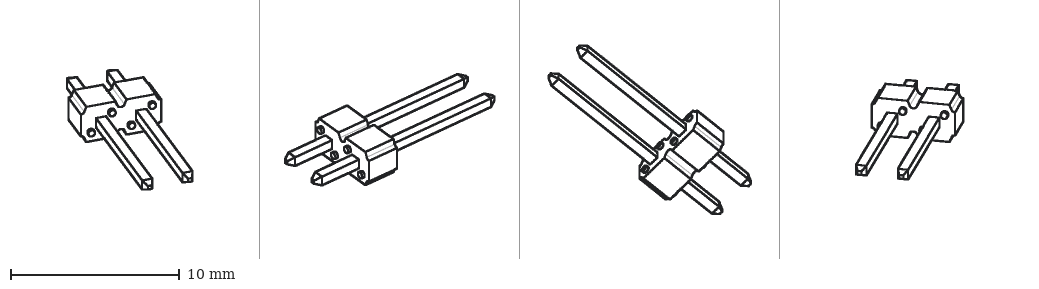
import cadquery as cq
import math


pitch = 2.54
pin_count = 2

body_length = 2.13
body_height = 2.41

groove_depth = 0.455
groove_half_width = 0.345
groove_radius = 0.235

pin_length = 13.67
pin_width = 0.635
pin_tip_width = 0.24
pin_taper_length = 0.43
pin_short_side = 3.23

nub_diameter = 0.42
nub_height = 0.19
nub_offset_y = 0.655
nub_offset_z = 0.555

row_width = pin_count * pitch
body_start = -body_length / 2
pin_start = body_start - pin_short_side
pin_end = pin_start + pin_length
pin_positions = [(i - (pin_count - 1) / 2) * pitch for i in range(pin_count)]
groove_positions = [i * pitch - row_width / 2 for i in range(pin_count + 1)]


def yz_plane(x):
    """Sketch plane at the given X, with local axes Y and Z and its normal along +X."""
    return cq.Workplane("YZ", origin=(x, 0, 0))


def groove(y, side):
    """Cutter for one groove in the top (side = 1) or bottom (side = -1) of the body.

    Straight flanks run tangent into a round bottom.
    """
    centre_depth = groove_depth - groove_radius
    corner_distance = math.hypot(groove_half_width, centre_depth)
    tangent_angle = math.acos(groove_radius / corner_distance)
    contact_angle = math.atan2(centre_depth, groove_half_width) - tangent_angle
    contact_half_width = groove_radius * math.cos(contact_angle)
    contact_depth = centre_depth - groove_radius * math.sin(contact_angle)

    def point(offset, depth):
        return (y + offset, side * (body_height / 2 - depth))

    return (
        yz_plane(body_start)
        .moveTo(*point(-groove_half_width, 0))
        .lineTo(*point(-contact_half_width, contact_depth))
        .threePointArc(point(0, groove_depth), point(contact_half_width, contact_depth))
        .lineTo(*point(groove_half_width, 0))
        .close()
        .extrude(body_length)
    )


def make_body():
    """Insulator block, grooved between the positions and at both ends of the row."""
    body = yz_plane(body_start).rect(row_width, body_height).extrude(body_length)
    for y in groove_positions:
        for side in (1, -1):
            body = body.cut(groove(y, side))
    return body


def pin_tip(y, shoulder, end):
    """Pyramid-shaped tip from the full pin section at shoulder to the blunt end."""
    return (
        yz_plane(shoulder)
        .center(y, 0)
        .rect(pin_width, pin_width)
        .workplane(offset=end - shoulder)
        .rect(pin_tip_width, pin_tip_width)
        .loft(ruled=True)
    )


def make_pin(y):
    """Square pin, tapered at both ends."""
    first_shoulder = pin_start + pin_taper_length
    last_shoulder = pin_end - pin_taper_length
    shank = (
        yz_plane(first_shoulder)
        .center(y, 0)
        .rect(pin_width, pin_width)
        .extrude(last_shoulder - first_shoulder)
    )
    shank = shank.union(pin_tip(y, first_shoulder, pin_start))
    return shank.union(pin_tip(y, last_shoulder, pin_end))


def make_nubs(y):
    """Two round stand-off nubs diagonally about a pin, standing out of both body faces."""
    centres = [(y + nub_offset_y, nub_offset_z), (y - nub_offset_y, -nub_offset_z)]
    return (
        yz_plane(body_start - nub_height)
        .pushPoints(centres)
        .circle(nub_diameter / 2)
        .extrude(body_length + 2 * nub_height)
    )


result = make_body()
for pin_y in pin_positions:
    result = result.union(make_pin(pin_y))
    result = result.union(make_nubs(pin_y))